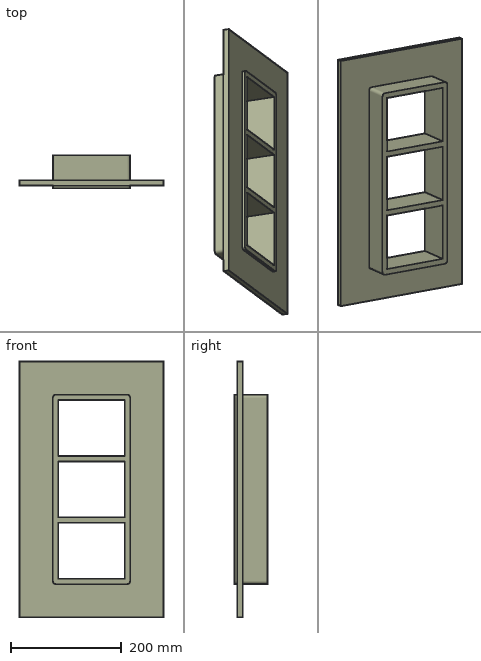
import cadquery as cq

plate_width = 260.5
plate_height = 463.0
plate_thickness = 10.0

sleeve_width = 140.0
sleeve_height = 343.0
sleeve_depth = 60.0
corner_radius = 6.0
front_projection = 5.0

wall = 10.0
window_count = 3
window_width = sleeve_width - 2 * wall
window_height = (sleeve_height - (window_count + 1) * wall) / window_count
window_pitch = window_height + wall


def block(width, depth, height, front_y):
    """Box centred in X and Z, with its front face at front_y."""
    return cq.Workplane("XY").box(width, depth, height).translate((0, front_y + depth / 2, 0))


plate = block(plate_width, plate_thickness, plate_height, front_projection)
sleeve = block(sleeve_width, sleeve_depth, sleeve_height, 0).edges("|Y").fillet(corner_radius)
result = plate.union(sleeve)

for index in range(window_count):
    center_z = (index - (window_count - 1) / 2) * window_pitch
    window = block(window_width, sleeve_depth, window_height, 0)
    result = result.cut(window.translate((0, 0, center_z)))